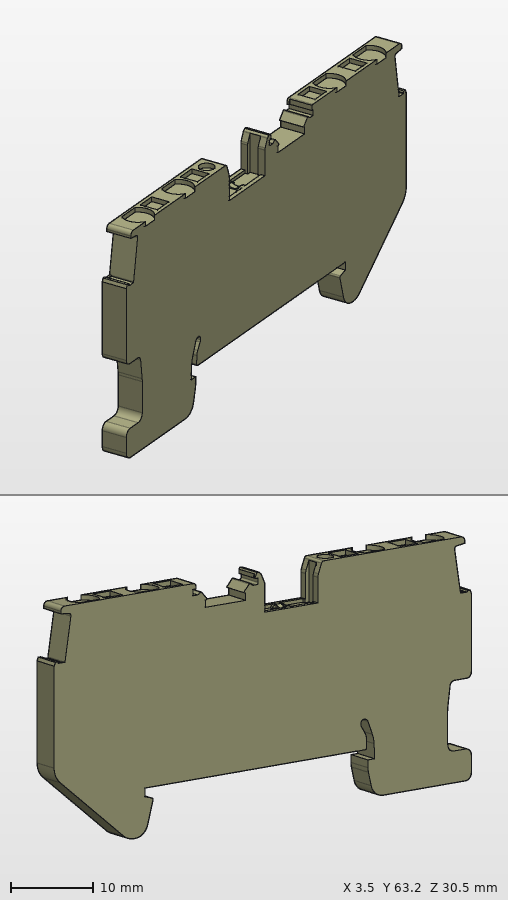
import cadquery as cq
import math

width = 3.5
length = 63.2
height = 30.5
half_width = width / 2
half_length = length / 2

shelf_z = 23.5
ridge_z = 23.7
well_z = 25.4
latch_peak_z = 29.4
catch_z = 28.3
catch_root_z = 28.2
marker_floor_z = 27.3
latch_floor_z = 29.0
hook_z = 29.75
post_hook_tip_z = 29.95
neck_z = 12.75
clip_top_z = 4.0
rail_z = 6.05
rail_lip_z = 4.75

lip_y = 30.6
marker_y = (8.65, 2.6)
marker_hook_y = (10.1, 1.2)
shelf_y = (29.95, 30.9)
clip_neck_y = -28.0
notch_wall_y = (10.55, 0.7)
well_y = (-0.3, -8.35)

plate_thickness = 0.3
hook_setback = 0.2
shelf_setback = 0.1

opening_depth = 0.65
screw_diameter = 4.05
screw_flat_x = -1.4
screw_y = (26.0, 16.95, -17.2, -26.2)
wire_length = 2.6
wire_width = 2.45
wire_y = (22.2, 13.1, -13.45, -22.5)
test_hole_diameter = 2.0
test_hole_y = -10.75

slot_half_width = 1.15
slot_neck_half_width = 0.75
slot_depth = 0.45
slot_y = (-0.3, -8.2)
groove_y = (0.25, -8.85)

bar_y = -4.3
bar_length = 0.8
cheek_radius = 0.9
cheek_length = 2.35
saddle_radius = 1.0
saddle_depth = 0.3


def rounded_outline(corners):
    """Closed YZ outline through (y, z, radius) corners; a radius of 0 leaves a sharp corner."""
    stretches = []
    for i, (y, z, radius) in enumerate(corners):
        corner = cq.Vector(y, z)
        before = (cq.Vector(*corners[i - 1][:2]) - corner).normalized()
        after = (cq.Vector(*corners[(i + 1) % len(corners)][:2]) - corner).normalized()
        if radius == 0:
            stretches.append([corner])
            continue
        half_angle = before.getAngle(after) / 2
        setback = radius / math.tan(half_angle)
        bisector = (before + after).normalized()
        middle = corner + bisector * (radius / math.sin(half_angle) - radius)
        stretches.append([corner + before * setback, middle, corner + after * setback])

    outline = cq.Workplane("YZ").moveTo(*stretches[0][-1].toTuple()[:2])
    for stretch in stretches[1:] + stretches[:1]:
        outline = outline.lineTo(*stretch[0].toTuple()[:2])
        if len(stretch) == 3:
            outline = outline.threePointArc(stretch[1].toTuple()[:2], stretch[2].toTuple()[:2])
    return outline.close()


def end_corners():
    """Lip, neck and shoulder of one end, from the top face outward and down, for the +Y end."""
    return [
        (lip_y, height, 0.6),
        (lip_y, 29.65, 0.0),
        (29.0, 29.45, 0.3),
        (shelf_y[0], shelf_z, 0.0),
        (shelf_y[1], shelf_z, 0.0),
        (31.0, ridge_z, 0.0),
        (31.4, ridge_z, 0.0),
        (half_length, 23.25, 0.0),
    ]


def mirrored(corners):
    return [(-y, z, radius) for y, z, radius in reversed(corners)]


def body_outline():
    foot = [
        (half_length, 9.35, 2.5),
        (20.4, 0.0, 2.4),
        (17.8, 0.0, 2.0),
        (16.55, 4.6, 0.2),
        (17.8, 5.0, 0.0),
        (17.8, rail_z, 0.0),
    ]
    spring_slot = [
        (-15.75, rail_z, 0.25),
        (-15.7, 7.85, 1.25),
        (-14.85, 9.15, 0.5),
        (-14.9, 9.85, 0.3),
        (-15.8, 9.85, 0.5),
        (-16.8, 7.25, 3.8),
        (-16.95, rail_lip_z, 0.0),
    ]
    clip_foot = [
        (-15.9, rail_lip_z, 0.0),
        (-15.9, 3.5, 2.5),
        (-16.75, 0.0, 1.9),
        (-half_length, 0.0, 0.95),
        (-half_length, clip_top_z, 0.9),
        (clip_neck_y, clip_top_z, 0.95),
        (clip_neck_y, 9.35, 3.15),
        (-28.45, neck_z, 0.65),
        (-half_length, neck_z, 0.75),
    ]
    test_well = [
        (-9.0, height, 0.4),
        (well_y[1], 28.8, 1.25),
        (well_y[1], well_z, 0.0),
        (well_y[0], well_z, 0.0),
        (well_y[0], 29.0, 0.65),
    ]
    post_hook = [
        (0.25, 30.3, 0.1),
        (0.6, height, 0.0),
        (0.9, height, 0.0),
        (marker_hook_y[1], post_hook_tip_z, 0.0),
        (1.0, hook_z, 0.0),
        (notch_wall_y[1], hook_z, 0.0),
        (notch_wall_y[1], latch_floor_z, 0.25),
    ]
    marker_recess = [
        (1.45, latch_floor_z, 0.0),
        (1.95, latch_peak_z, 0.2),
        (2.9, catch_z, 0.0),
        (marker_y[1], catch_root_z, 0.0),
        (marker_y[1], marker_floor_z, 0.0),
        (marker_y[0], marker_floor_z, 0.0),
        (marker_y[0], catch_root_z, 0.0),
        (8.4, catch_z, 0.0),
        (9.35, latch_peak_z, 0.2),
        (9.85, latch_floor_z, 0.0),
    ]
    body_hook = [
        (notch_wall_y[0], latch_floor_z, 0.0),
        (notch_wall_y[0], hook_z, 0.0),
        (marker_hook_y[0], hook_z, 0.0),
        (marker_hook_y[0], height, 0.4),
    ]
    return rounded_outline(
        end_corners() + foot + spring_slot + clip_foot + mirrored(end_corners())
        + test_well + post_hook + marker_recess + body_hook
    )


def box(x_range, y_range, z_range):
    size = [abs(b - a) for a, b in (x_range, y_range, z_range)]
    middle = [(a + b) / 2 for a, b in (x_range, y_range, z_range)]
    return cq.Workplane("XY").box(*size).translate(tuple(middle))


def plate_steps():
    """Material set back behind the cover plate at the hooks and end shoulders."""
    x_range = (plate_thickness - half_width, half_width)
    body_tip, post_tip = marker_hook_y
    cuts = box(x_range, (body_tip, body_tip + hook_setback), (hook_z, height))
    cuts = cuts.union(box(x_range, (post_tip - hook_setback, post_tip), (hook_z, height)))
    for side in (1, -1):
        y_range = (side * shelf_y[0], side * shelf_y[1])
        cuts = cuts.union(box(x_range, y_range, (shelf_z - shelf_setback, ridge_z)))
    return cuts


def top_openings():
    """Screw recesses open to the +X side, square wire entries and the round test hole."""
    top = cq.Workplane("XY").workplane(offset=height - opening_depth)
    screws = top.pushPoints([(0, y) for y in screw_y]).circle(screw_diameter / 2).extrude(opening_depth)
    screws = screws.intersect(
        box((screw_flat_x, screw_diameter), (-half_length, half_length), (0, height))
    )
    wires = top.pushPoints([(0, y) for y in wire_y]).rect(wire_width, wire_length).extrude(opening_depth)
    test_hole = top.center(0, test_hole_y).circle(test_hole_diameter / 2).extrude(opening_depth)
    return screws.union(wires).union(test_hole)


def well_slot():
    """Slot in the well floor with end grooves, split by a saddle bar between two cheeks."""
    floor_z = well_z - slot_depth
    neck_x = (-slot_neck_half_width, slot_neck_half_width)
    slot_x = (-slot_half_width, slot_half_width)
    slot = box(slot_x, slot_y, (floor_z, well_z))
    grooves = box(neck_x, groove_y, (floor_z, height))

    cheek_y = (bar_y - cheek_length / 2, bar_y + cheek_length / 2)
    cheek_z = (well_z - 2 * cheek_radius, well_z)
    cheeks = box(slot_x, cheek_y, cheek_z).edges("|X and >Z").fillet(cheek_radius)
    cheeks = cheeks.cut(box(neck_x, cheek_y, cheek_z))

    bar = box(neck_x, (bar_y - bar_length / 2, bar_y + bar_length / 2), (floor_z, well_z))
    saddle = (
        cq.Workplane("XZ").center(0, well_z - saddle_depth + saddle_radius).circle(saddle_radius)
        .extrude(length, both=True)
    )
    return slot.union(grooves).cut(cheeks).cut(bar.cut(saddle))


body = body_outline().extrude(half_width, both=True)
result = body.cut(plate_steps()).cut(top_openings()).cut(well_slot())